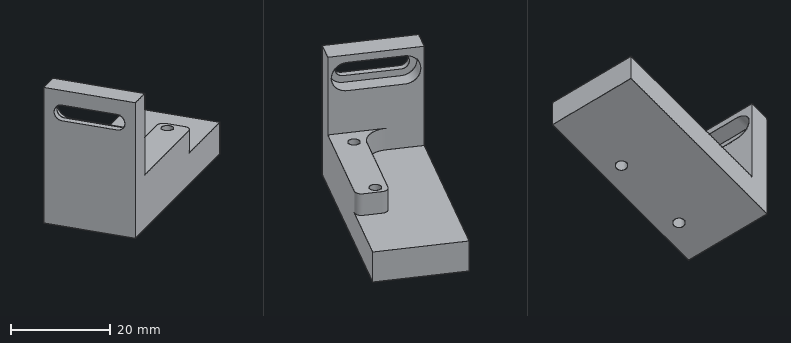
import cadquery as cq

width = 20.0
length = 45.0
height = 30.0
base_thickness = 7.0
wall_thickness = 5.0

pad_width = 7.0
pad_length = 25.0
pad_height = 5.0
pad_corner_radius = 1.5
pad_wall_fillet = 5.0

hole_diameter = 2.5
hole_spacing = 19.0
hole_from_pad_end = 2.0
hole_from_pad_side = 2.5

slot_travel = 12.0
slot_width = 3.4
slot_from_top = 5.0
head_recess_width = 6.5
slot_lip_thickness = 1.5

pad_left = width - pad_width
pad_end = wall_thickness + pad_length
pad_top = base_thickness + pad_height


def make_bracket():
    """L-shaped body made of the base and the wall."""
    base = cq.Workplane("XY").box(width, length, base_thickness, centered=False)
    wall = cq.Workplane("XY").box(width, wall_thickness, height, centered=False)
    return base.union(wall)


def make_pad():
    """Pad with two rounded end corners and a concave fillet into the wall."""
    block = (
        cq.Workplane("XY")
        .box(pad_width, pad_length, pad_top, centered=False)
        .translate((pad_left, wall_thickness, 0))
        .edges("|Z and >Y")
        .fillet(pad_corner_radius)
    )
    wall_fillet = (
        cq.Workplane("XY")
        .moveTo(pad_left, wall_thickness)
        .lineTo(pad_left, wall_thickness + pad_wall_fillet)
        .radiusArc((pad_left - pad_wall_fillet, wall_thickness), pad_wall_fillet)
        .close()
        .extrude(pad_top)
    )
    return block.union(wall_fillet)


def make_holes():
    """Cutters for the two vertical screw holes."""
    hole_x = pad_left + hole_from_pad_side
    rear_hole_y = pad_end - hole_from_pad_end
    return (
        cq.Workplane("XY")
        .pushPoints([(hole_x, rear_hole_y), (hole_x, rear_hole_y - hole_spacing)])
        .circle(hole_diameter / 2)
        .extrude(pad_top)
    )


def make_slot(slot_size, start_y):
    """Round-ended cutter centred across the wall, from start_y to the wall's rear face."""
    return (
        cq.Workplane("XZ", origin=(width / 2, start_y, height - slot_from_top))
        .slot2D(slot_travel + slot_size, slot_size)
        .extrude(start_y - wall_thickness)
    )


result = (
    make_bracket()
    .union(make_pad())
    .cut(make_holes())
    .cut(make_slot(slot_width, 0))
    .cut(make_slot(head_recess_width, slot_lip_thickness))
)